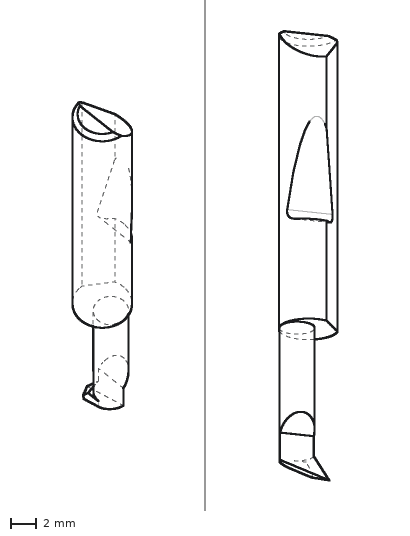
import cadquery as cq

total_length = 38.1
shank_radius = 2.38
shank_bottom = 12.7
end_chamfer = 0.42

end_slope_drop = 3.05
flat_distance = 2.0
flat_direction = 143.5

notch_top = 29.95
notch_corner_y = 0.95
notch_corner_z = 21.4
notch_fillet = 0.85

neck_radius = 1.4
neck_center_x = shank_radius - neck_radius
half_round_top = 3.62

tip_top = 1.9
tip_x = -1.7
tip_right_z = 1.3
front_top_x = -0.2
front_point_x = -1.15
front_relief = 0.3

facet_upper_x = -0.75
facet_upper_z = 1.1
facet_lower_x = -0.7
facet_lower_z = 0.57

CUT_MARGIN = 1.9
TIP_OVERSHOOT = 0.4


def yz_prism(points):
    """Closed YZ outline extruded across the full width of the shank."""
    half_width = shank_radius + CUT_MARGIN
    return cq.Workplane("YZ").polyline(points).close().extrude(half_width, both=True)


def make_shank():
    shank = (
        cq.Workplane("XY")
        .workplane(offset=shank_bottom)
        .circle(shank_radius)
        .extrude(total_length - shank_bottom)
        .faces(">Z")
        .chamfer(end_chamfer)
    )
    return shank.cut(end_slope()).cut(side_flat()).cut(clamping_notch())


def end_slope():
    slope_start = shank_radius - end_slope_drop
    reach = end_slope_drop + CUT_MARGIN
    return yz_prism([
        (slope_start, total_length),
        (slope_start + reach, total_length - reach),
        (slope_start + reach, total_length),
    ])


def side_flat():
    depth = shank_radius
    return (
        cq.Workplane("XY")
        .box(depth, 4 * shank_radius, total_length, centered=(False, True, False))
        .translate((flat_distance, 0, 0))
        .rotate((0, 0, 0), (0, 0, 1), flat_direction)
    )


def clamping_notch():
    depth = shank_radius - notch_corner_y
    ramp_slope = depth / (notch_top - notch_corner_z)
    outer_y = shank_radius + CUT_MARGIN
    reach = outer_y - notch_corner_y
    notch = yz_prism([
        (notch_corner_y, notch_corner_z),
        (outer_y, notch_corner_z + reach / ramp_slope),
        (outer_y, notch_corner_z - reach * ramp_slope),
    ])
    return notch.edges("|X").edges("<Y").fillet(notch_fillet)


def neck_cylinder(bottom, top):
    return (
        cq.Workplane("XY")
        .circle(neck_radius)
        .extrude(top - bottom)
        .rotate((0, 0, 0), (0, 0, 1), 90)
        .translate((neck_center_x, 0, bottom))
    )


def make_neck():
    neck = neck_cylinder(tip_top, shank_bottom)
    reach = neck_radius + CUT_MARGIN
    half_round_cut = yz_prism([
        (0, 0),
        (0, half_round_top),
        (reach, half_round_top + reach),
        (reach, 0),
    ])
    return neck.cut(half_round_cut)


def make_tip():
    edge_slope = tip_right_z / (shank_radius - tip_x)

    def edge_height(x):
        return edge_slope * (x - tip_x)

    right_x = shank_radius + TIP_OVERSHOOT
    cutting_face = [
        (neck_center_x - neck_radius, tip_top),
        (tip_x, 0),
        (right_x, edge_height(right_x)),
        (right_x, tip_top),
    ]
    front_face = [
        (front_top_x, tip_top),
        (front_point_x, edge_height(front_point_x) + front_relief),
        (right_x, edge_height(right_x) + front_relief),
        (right_x, tip_top),
    ]
    wedge = (
        cq.Workplane("XZ")
        .polyline(cutting_face)
        .close()
        .workplane(offset=neck_radius)
        .polyline(front_face)
        .close()
        .loft(ruled=True)
    )
    neck_round = neck_cylinder(0, tip_top)
    left_side = (
        cq.Workplane("XY")
        .box(2 * shank_radius, 2 * neck_radius, tip_top, centered=(False, True, False))
        .translate((neck_center_x - 2 * shank_radius, 0, 0))
    )
    return wedge.intersect(neck_round.union(left_side)).cut(clearance_facet())


def clearance_facet():
    tip_point = cq.Vector(tip_x, 0, 0)
    upper = cq.Vector(facet_upper_x, -neck_radius, facet_upper_z)
    lower = cq.Vector(facet_lower_x, -neck_radius, facet_lower_z)
    outward = (lower - tip_point).cross(upper - tip_point)
    facet_plane = cq.Plane(origin=tip_point, normal=outward)
    return cq.Workplane(facet_plane).circle(2 * shank_radius).extrude(CUT_MARGIN)


result = make_shank().union(make_neck()).union(make_tip())